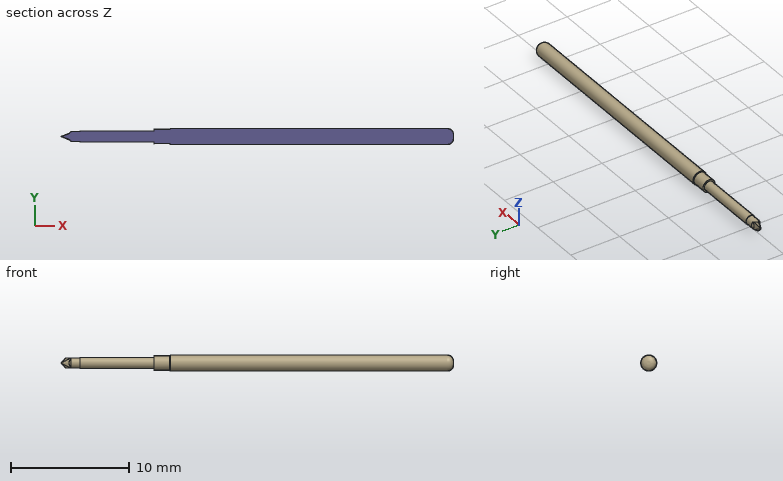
import cadquery as cq

total_length = 33.28

head_diameter = 0.88
head_length = 1.62
shaft_diameter = 0.95

collar_diameter = 1.25
collar_start = 7.87

tube_diameter = 1.37
tube_start = 9.22
mouth_chamfer = (tube_diameter - collar_diameter) / 2
end_radius = 0.52

ridge_rise = 1.05
side_spread = 0.4
corner_spread = 0.33
corner_rise = 0.5

shoulder_start = 0.41


def cylinder(diameter, start, end):
    """Solid round bar on the X axis between two stations."""
    return cq.Workplane("YZ", origin=(start, 0, 0)).circle(diameter / 2).extrude(end - start)


def tip_pyramid():
    """Eight-sided pyramid with its apex at the origin, opening toward +X."""
    section = [
        (side_spread, 0),
        (corner_spread, corner_rise),
        (0, ridge_rise),
        (-corner_spread, corner_rise),
        (-side_spread, 0),
        (-corner_spread, -corner_rise),
        (0, -ridge_rise),
        (corner_spread, -corner_rise),
    ]
    apex = cq.Vector(0, 0, 0)
    rim = [cq.Vector(head_length, y * head_length, z * head_length) for y, z in section]
    faces = [cq.Face.makeFromWires(cq.Wire.makePolygon(rim, close=True))]
    for index, corner in enumerate(rim):
        next_corner = rim[(index + 1) % len(rim)]
        triangle = cq.Wire.makePolygon([apex, corner, next_corner], close=True)
        faces.append(cq.Face.makeFromWires(triangle))
    return cq.Workplane(cq.Solid.makeSolid(cq.Shell.makeShell(faces)))


def shoulder():
    """Right-angled cone with its apex on the axis, opening toward +X."""
    cone_length = head_length - shoulder_start
    cone = cq.Solid.makeCone(
        0,
        cone_length,
        cone_length,
        pnt=cq.Vector(shoulder_start, 0, 0),
        dir=cq.Vector(1, 0, 0),
    )
    return cq.Workplane(cone)


def plunger():
    """Pointed head, trimmed to a round bar, followed by the slightly thicker shaft."""
    point = tip_pyramid().union(shoulder())
    head = cylinder(head_diameter, 0, head_length).intersect(point)
    return head.union(cylinder(shaft_diameter, head_length, collar_start))


def barrel():
    """Collar and tube; the mouth chamfer meets the collar and the closed end is rounded."""
    collar = cylinder(collar_diameter, collar_start, tube_start + mouth_chamfer)
    tube = cylinder(tube_diameter, tube_start, total_length)
    tube = tube.faces("<X").chamfer(mouth_chamfer)
    tube = tube.faces(">X").edges().fillet(end_radius)
    return collar.union(tube)


result = plunger().union(barrel())